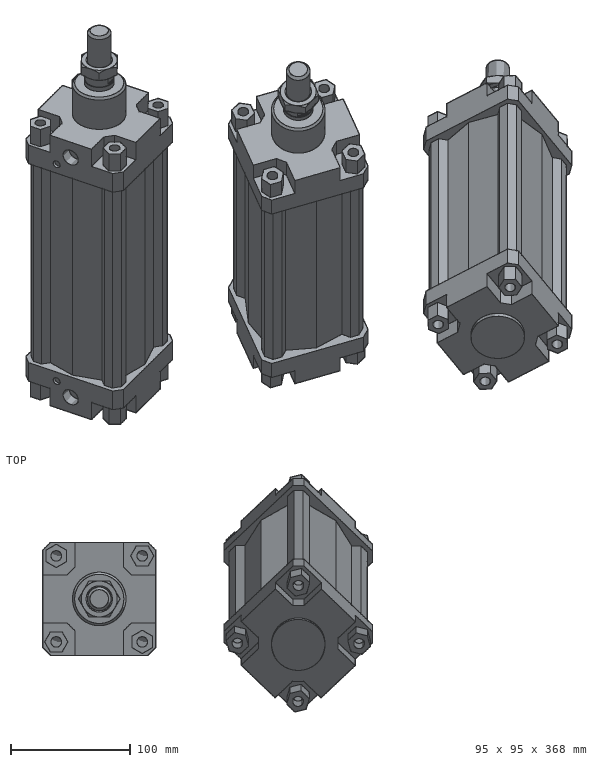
import cadquery as cq
import math

total_length = 368.0
rear_boss_height = 4.0
cap_height = 36.8
cap_top = 282.3
front_boss_height = 32.0
boss_top = cap_top + front_boss_height

cap_width = 95.0
cap_corner_chamfer = 6.5
boss_diameter = 45.0
boss_chamfer = 2.0
arm_half_width = 20.2
pocket_depth = 17.5
pocket_floor = cap_top - pocket_depth
pocket_corner_chamfer = 6.5

tie_nut_offset = 36.0
tie_nut_across_flats = 17.0
tie_hole_diameter = 9.0
tie_hole_depth = 14.7
drill_point_angle = 118.0

port_diameter = 14.7
port_depth = 10.0
port_inset = 16.0
screw_diameter = 6.5
screw_depth = 2.5
screw_inset = 27.5
screw_x = -13.5

post_half_width = 43.8
post_corner_chamfer = 5.5
post_inner_edge = 30.5
post_flank = 5.5
barrel_peak = 44.5

rod_diameter = 25.0
rod_shoulder = 318.5
neck_diameter = 24.0
thread_diameter = 20.0
thread_chamfer = 2.2
flats_width = 22.0
flats_bottom = 319.8

lock_nut_bottom = 327.5
lock_nut_height = 10.3
lock_nut_across_flats = 30.0
lock_nut_bore_chamfer = 1.0
lock_nut_edge_angle = 30.0


def across_corners(across_flats):
    """Distance between opposite edges of a hexagon of the given width across flats."""
    return across_flats / math.cos(math.radians(30))


def hexagon(across_flats, bottom, height):
    """Hexagonal prism on the Z axis with two of its edges in the XZ plane."""
    base = cq.Workplane("XY").workplane(offset=bottom)
    return base.polygon(6, across_corners(across_flats)).extrude(height)


def make_corner_pocket():
    """Material removed from the (-X, -Y) cap corner, bevelled at its inner corner."""
    width = cap_width / 2 - arm_half_width
    centre = arm_half_width + width / 2
    return (
        cq.Workplane("XY").workplane(offset=pocket_floor)
        .rect(width, width).extrude(pocket_depth)
        .edges("|Z and >X and >Y").chamfer(pocket_corner_chamfer)
        .translate((-centre, -centre, 0))
    )


def make_tie_nut():
    """Tie rod nut standing in the (-X, -Y) pocket."""
    nut = hexagon(tie_nut_across_flats, pocket_floor, pocket_depth)
    return nut.translate((-tie_nut_offset, -tie_nut_offset, 0))


def make_tie_hole():
    """Blind hole with a conical drill point, in the end of the (-X, -Y) tie rod nut."""
    radius = tie_hole_diameter / 2
    hole_floor = cap_top - tie_hole_depth
    hole_tip = hole_floor - radius / math.tan(math.radians(drill_point_angle / 2))
    outline = [(0, cap_top), (radius, cap_top), (radius, hole_floor), (0, hole_tip)]
    hole = cq.Workplane("XZ").polyline(outline).close().revolve(360, (0, 0), (0, 1))
    return hole.translate((-tie_nut_offset, -tie_nut_offset, 0))


def make_cap():
    """Front cap without its boss: a square block with four nut pockets and two side holes."""
    cap = (
        cq.Workplane("XY").workplane(offset=cap_top - cap_height)
        .rect(cap_width, cap_width).extrude(cap_height)
        .edges("|Z").chamfer(cap_corner_chamfer)
    )

    pocket = make_corner_pocket()
    nut = make_tie_nut()
    hole = make_tie_hole()
    for quarter in range(4):
        turn = ((0, 0, 0), (0, 0, 1), 90 * quarter)
        cap = cap.cut(pocket.rotate(*turn)).union(nut.rotate(*turn)).cut(hole.rotate(*turn))

    side = cq.Workplane("XZ", origin=(0, -cap_width / 2, 0))
    port = side.center(0, cap_top - port_inset).circle(port_diameter / 2).extrude(-port_depth)
    screw = side.center(screw_x, cap_top - screw_inset).circle(screw_diameter / 2).extrude(-screw_depth)
    return cap.cut(port).cut(screw)


def make_barrel():
    """Barrel between the caps: bevelled corner posts and slightly peaked sides."""
    corner = post_half_width - post_corner_chamfer
    side = [
        (-corner, -post_half_width),
        (-post_inner_edge, -post_half_width),
        (-post_inner_edge + post_flank, -post_half_width + post_flank),
        (0, -barrel_peak),
        (post_inner_edge - post_flank, -post_half_width + post_flank),
        (post_inner_edge, -post_half_width),
        (corner, -post_half_width),
    ]
    outline = []
    for _ in range(4):
        outline += side
        side = [(-y, x) for x, y in side]
    bottom = rear_boss_height + cap_height
    length = cap_top - cap_height - bottom
    return cq.Workplane("XY").workplane(offset=bottom).polyline(outline).close().extrude(length)


def make_housing():
    """Both caps, the barrel and the two round bosses as one solid."""
    front_cap = make_cap()
    middle = (rear_boss_height + cap_top) / 2
    rear_cap = front_cap.mirror("XY", (0, 0, middle))
    front_boss = (
        cq.Workplane("XY").workplane(offset=cap_top)
        .circle(boss_diameter / 2).extrude(front_boss_height)
        .faces(">Z").chamfer(boss_chamfer)
    )
    rear_boss = cq.Workplane("XY").circle(boss_diameter / 2).extrude(rear_boss_height)
    return make_barrel().union(front_cap).union(rear_cap).union(front_boss).union(rear_boss)


def make_rod():
    """Piston rod standing on the front boss: shoulder, neck with two flats, threaded end."""
    shoulder = (
        cq.Workplane("XY").workplane(offset=boss_top)
        .circle(rod_diameter / 2).extrude(rod_shoulder - boss_top)
    )
    neck = (
        cq.Workplane("XY").workplane(offset=rod_shoulder)
        .circle(neck_diameter / 2).extrude(lock_nut_bottom - rod_shoulder)
    )
    thread = (
        cq.Workplane("XY").workplane(offset=lock_nut_bottom)
        .circle(thread_diameter / 2).extrude(total_length - lock_nut_bottom)
        .faces(">Z").chamfer(thread_chamfer)
    )
    flat_depth = (neck_diameter - flats_width) / 2
    flat_centre = (flats_width + flat_depth) / 2
    flats = (
        cq.Workplane("XY").workplane(offset=flats_bottom)
        .pushPoints([(-flat_centre, 0), (flat_centre, 0)])
        .rect(flat_depth, neck_diameter)
        .extrude(lock_nut_bottom - flats_bottom)
    )
    return shoulder.union(neck).cut(flats).union(thread)


def make_lock_nut():
    """Hexagonal nut on the thread, with coned corners and countersunk bore ends."""
    corner_radius = across_corners(lock_nut_across_flats) / 2
    face_radius = lock_nut_across_flats / 2
    cone_drop = (corner_radius - face_radius) * math.tan(math.radians(lock_nut_edge_angle))
    top = lock_nut_bottom + lock_nut_height
    bore_radius = thread_diameter / 2
    mouth_radius = bore_radius + lock_nut_bore_chamfer
    profile = [
        (bore_radius, lock_nut_bottom + lock_nut_bore_chamfer),
        (mouth_radius, lock_nut_bottom),
        (face_radius, lock_nut_bottom),
        (corner_radius, lock_nut_bottom + cone_drop),
        (corner_radius, top - cone_drop),
        (face_radius, top),
        (mouth_radius, top),
        (bore_radius, top - lock_nut_bore_chamfer),
    ]
    turned = cq.Workplane("XZ").polyline(profile).close().revolve(360, (0, 0), (0, 1))
    return turned.intersect(hexagon(lock_nut_across_flats, lock_nut_bottom, lock_nut_height))


housing = make_housing()
rod = make_rod()
lock_nut = make_lock_nut()

result = cq.Compound.makeCompound([housing.val(), rod.val(), lock_nut.val()])